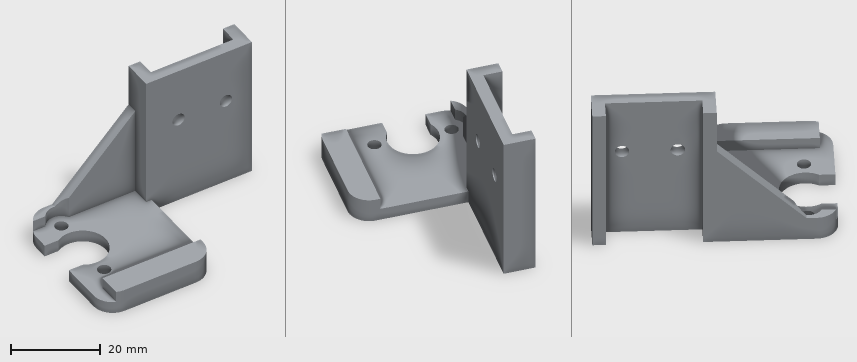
import cadquery as cq

total_width = 34.1
total_depth = 55.1
total_height = 37.1

plate_depth = 28.75
plate_thickness = 3.1
corner_radius = 5.0

channel_front = 27.3
channel_width = 7.45
channel_wall = 3.0
flange_thickness = 3.05
wall_hole_diameter = 3.2
wall_hole_height = 23.15
wall_hole_positions = (35.8, 48.25)

raised_height = 6.0
rib_thickness = 2.8
rib_slope_start = 7.25
rail_width = 6.1
rail_front = 3.05

opening_x = 13.55
opening_y = 6.85
opening_diameter = 12.0
slot_width = 10.15
screw_spacing = 18.0
screw_diameter = 3.2
screw_head_clearance = 7.0


def corner_box(x, y, length, depth, height):
    """Box standing on Z = 0 with its lower left corner at (x, y)."""
    return cq.Workplane("XY").box(length, depth, height, centered=False).translate((x, y, 0))


def vertical_cylinder(x, y, diameter, bottom, height):
    return cq.Workplane("XY", origin=(x, y, bottom)).circle(diameter / 2).extrude(height)


def make_plate():
    """Plate, side rib and rail, trimmed to a common rounded outline."""
    plate = corner_box(0, 0, total_width, plate_depth, plate_thickness)
    rail_left = total_width - rail_width
    rail = corner_box(rail_left, rail_front, rail_width, plate_depth - rail_front, raised_height)

    rib_top = raised_height + channel_front - rib_slope_start
    rib = (
        cq.Workplane("YZ")
        .moveTo(0, 0)
        .lineTo(channel_front, 0)
        .lineTo(channel_front, rib_top)
        .lineTo(rib_slope_start, raised_height)
        .lineTo(0, raised_height)
        .close()
        .extrude(rib_thickness)
    )

    outline = (
        corner_box(0, 0, total_width, plate_depth, total_height)
        .edges("|Z and (<Y or >X)")
        .fillet(corner_radius)
    )
    return plate.union(rail).union(rib).intersect(outline)


def make_channel():
    channel_depth = total_depth - channel_front
    channel = corner_box(0, channel_front, channel_width, channel_depth, total_height)
    recess = corner_box(
        0,
        channel_front + flange_thickness,
        channel_width - channel_wall,
        channel_depth - 2 * flange_thickness,
        total_height,
    )
    return channel.cut(recess)


def cut_motor_opening(body):
    opening = vertical_cylinder(opening_x, opening_y, opening_diameter, 0, plate_thickness)
    slot = corner_box(opening_x - slot_width / 2, 0, slot_width, opening_y, plate_thickness)
    body = body.cut(opening).cut(slot)
    for side in (-1, 1):
        screw_x = opening_x + side * screw_spacing / 2
        body = body.cut(vertical_cylinder(screw_x, opening_y, screw_diameter, 0, plate_thickness))

    left_screw_x = opening_x - screw_spacing / 2
    clearance = vertical_cylinder(
        left_screw_x, opening_y, screw_head_clearance, plate_thickness, total_height
    )
    return body.cut(clearance)


def cut_wall_holes(body):
    holes = (
        cq.Workplane("YZ")
        .pushPoints([(y, wall_hole_height) for y in wall_hole_positions])
        .circle(wall_hole_diameter / 2)
        .extrude(channel_width)
    )
    return body.cut(holes)


result = make_plate().union(make_channel())
result = cut_motor_opening(result)
result = cut_wall_holes(result)